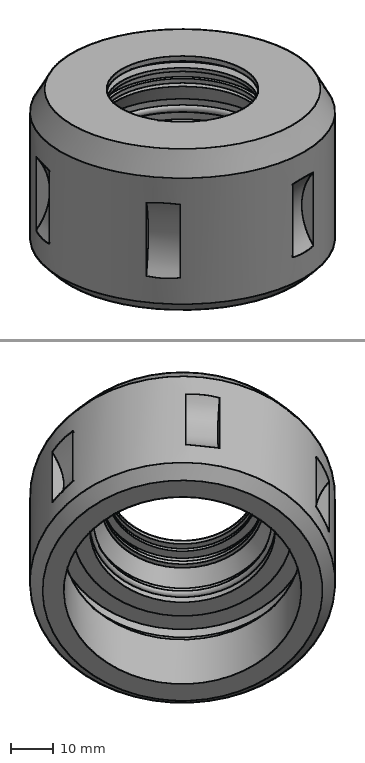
import cadquery as cq
import math

cone_slope = math.tan(math.radians(30))

height = 42.0
outer_radius = 36.0
mouth_radius = 17.9
top_chamfer_height = 6.0
top_chamfer_width = top_chamfer_height * cone_slope
bottom_chamfer = 3.0

mouth_lip_bottom = height - 1.3
seal_groove_bottom = height - 3.1
seal_lip_bottom = height - 4.05
retaining_groove_bottom = height - 6.45
ring_seat_top = height - 7.6
ring_seat_bottom = height - 18.5
thread_top = height - 25.0

seal_groove_radius = 21.0
retaining_groove_radius = 20.0
inner_shoulder_radius = 19.0
ring_seat_radius = 26.0
thread_bore_radius = 28.0
thread_relief_radius = 30.0
thread_lead_in_height = (thread_relief_radius - thread_bore_radius) / cone_slope

slot_count = 6
slot_spacing = 360 / slot_count
slot_width = 8.0
slot_depth = 3.7
slot_cutter_radius = 15.0
slot_height_centre = (bottom_chamfer + height - top_chamfer_height) / 2

ring_top_gap = 1.05
ring_top = ring_seat_top - ring_top_gap
ring_bottom = ring_seat_bottom
ring_mouth_radius = 19.3
ring_bore_radius = 21.9
ring_cone_height = (ring_bore_radius - ring_mouth_radius) / cone_slope
bead_radius = 0.9
bead_land = 1.6
ring_cone_bottom = ring_top - ring_cone_height
bead_centre = ring_cone_bottom - bead_land - bead_radius


def revolve_profile(profile):
    """Turn a closed (radius, height) outline on the XZ plane about the Z axis."""
    return profile.close().revolve(360, (0, 0, 0), (0, 1, 0))


def make_housing():
    housing = revolve_profile(
        cq.Workplane("XZ")
        .moveTo(mouth_radius, height)
        .lineTo(outer_radius - top_chamfer_width, height)
        .lineTo(outer_radius, height - top_chamfer_height)
        .lineTo(outer_radius, bottom_chamfer)
        .lineTo(outer_radius - bottom_chamfer, 0)
        .lineTo(thread_bore_radius, 0)
        .lineTo(thread_bore_radius, thread_top)
        .lineTo(thread_relief_radius, thread_top + thread_lead_in_height)
        .lineTo(thread_relief_radius, ring_seat_bottom)
        .lineTo(ring_seat_radius, ring_seat_bottom)
        .lineTo(ring_seat_radius, ring_seat_top)
        .lineTo(inner_shoulder_radius, ring_seat_top)
        .lineTo(inner_shoulder_radius, retaining_groove_bottom)
        .lineTo(retaining_groove_radius, retaining_groove_bottom)
        .lineTo(retaining_groove_radius, seal_lip_bottom)
        .lineTo(mouth_radius, seal_lip_bottom)
        .lineTo(mouth_radius, seal_groove_bottom)
        .lineTo(seal_groove_radius, seal_groove_bottom)
        .lineTo(seal_groove_radius, mouth_lip_bottom)
        .lineTo(mouth_radius, mouth_lip_bottom)
    )
    cutter_offset = outer_radius - slot_depth + slot_cutter_radius
    cutter = (
        cq.Workplane("XZ")
        .center(cutter_offset, slot_height_centre)
        .circle(slot_cutter_radius)
        .extrude(slot_width / 2, both=True)
    )
    for index in range(slot_count):
        housing = housing.cut(cutter.rotate((0, 0, 0), (0, 0, 1), index * slot_spacing))
    return housing


def make_clamping_ring():
    return revolve_profile(
        cq.Workplane("XZ")
        .moveTo(ring_mouth_radius, ring_top)
        .lineTo(ring_seat_radius, ring_top)
        .lineTo(ring_seat_radius, ring_bottom)
        .lineTo(ring_bore_radius, ring_bottom)
        .lineTo(ring_bore_radius, bead_centre - bead_radius)
        .threePointArc(
            (ring_bore_radius - bead_radius, bead_centre),
            (ring_bore_radius, bead_centre + bead_radius),
        )
        .lineTo(ring_bore_radius, ring_cone_bottom)
    )


housing = make_housing()
clamping_ring = make_clamping_ring()

result = cq.Compound.makeCompound([housing.val(), clamping_ring.val()])